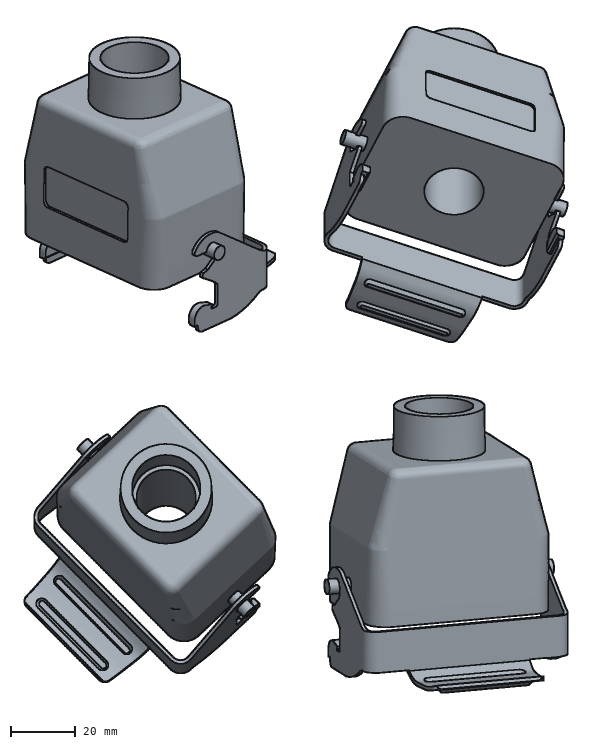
import cadquery as cq
import math

HOOD_BOTTOM_Z = 17.8
SKIRT_TOP_Z = 22.9
BREAK_Z = 42.15
HOOD_TOP_Z = 67.1
BASE_HALF_X, BASE_HALF_Y, BASE_CORNER_R = 29.9, 21.55, 6.65
TOP_HALF_X, TOP_HALF_Y, TOP_CORNER_R = 22.85, 20.7, 3.1
BREAK_HALF_X, BREAK_CORNER_R = 29.6, 4.95
FACE_LEAN = (BASE_HALF_Y - TOP_HALF_Y) / (HOOD_TOP_Z - SKIRT_TOP_Z)
BREAK_HALF_Y = BASE_HALF_Y - FACE_LEAN * (BREAK_Z - SKIRT_TOP_Z)
TOP_EDGE_R = 2.9
BREAK_EDGE_R = 2.2

COLLAR_TOP_Z = 81.05
COLLAR_TOP_R = 14.0
COLLAR_BASE_R = 14.3
BORE_R = 10.5
THROUGH_R = 9.15

LABEL_LENGTH = 36.5
LABEL_HEIGHT = 13.95
LABEL_CENTER_Z = 37.9
LABEL_CORNER_R = 1.8
LABEL_FLOOR_HALF_Y = 20.4

PEG_R = 2.35
PEG_Z = 26.8
PEG_SPAN = 74.0

SHEET = 1.2
LEVER_HALF_X = 33.7
LEVER_BACK_Y = 26.5
LEVER_BEND_R = 4.4
LEVER_FRONT_Y = -7.6
STRAP_BOTTOM_Z = 4.95
STRAP_TOP_Z = 17.9

HOOK_THICKNESS = 2.6
HOOK_BOTTOM_Z = 2.75
HOOK_BACK_Y = 0.3
HOOK_CHAMFER = 0.7
HOOK_THROAT_Y = 2.4

GRIP_TOP_Z = 2.4
GRIP_FLAT_START_Y = 32.4
GRIP_FLAT_END_Y = 36.95
GRIP_END_Y = 44.3
GRIP_ROOT_R = 7.95
GRIP_ROOT_ANGLE = 33
GRIP_TIP_R = 17.4
GRIP_HALF_WIDTH_BACK = 20.0
GRIP_HALF_WIDTH_END = 18.2
GRIP_CORNER_R = 2.4

RIBS = ((40.0, 14.5), (31.5, 16.05))
RIB_FLOOR_WIDTH = 1.95
RIB_DEPTH = 0.7
RIB_POCKET_ANGLE = 35
RIB_UNDERSIDE_ANGLE = 45
RIB_UNDERSIDE_WIDTH = 2.6


def hood_section(z, half_x, half_y, corner_r):
    """Closed wire: rounded rectangle at height z."""
    outline = cq.Workplane(origin=(0, 0, z)).rect(2 * half_x, 2 * half_y).val()
    return outline.fillet2D(corner_r, outline.Vertices())


def make_hood():
    skirt = hood_section(HOOD_BOTTOM_Z, BASE_HALF_X, BASE_HALF_Y, BASE_CORNER_R)
    base = hood_section(SKIRT_TOP_Z, BASE_HALF_X, BASE_HALF_Y, BASE_CORNER_R)
    middle = hood_section(BREAK_Z, BREAK_HALF_X, BREAK_HALF_Y, BREAK_CORNER_R)
    top = hood_section(HOOD_TOP_Z, TOP_HALF_X, TOP_HALF_Y, TOP_CORNER_R)
    body = cq.Workplane(cq.Solid.makeLoft([skirt, base, middle, top], True)).clean()
    break_edges = cq.selectors.BoxSelector(
        (-BASE_HALF_X, -BASE_HALF_Y, SKIRT_TOP_Z + TOP_EDGE_R),
        (BASE_HALF_X, BASE_HALF_Y, HOOD_TOP_Z - TOP_EDGE_R),
    )
    body = body.edges(break_edges).fillet(BREAK_EDGE_R)
    return body.faces(">Z").edges().fillet(TOP_EDGE_R)


def make_collar():
    height = COLLAR_TOP_Z - HOOD_TOP_Z
    base = cq.Vector(0, 0, HOOD_TOP_Z)
    return cq.Workplane(cq.Solid.makeCone(COLLAR_BASE_R, COLLAR_TOP_R, height, base))


def make_bores():
    through = cq.Workplane().circle(THROUGH_R).extrude(COLLAR_TOP_Z)
    collar_base = cq.Workplane(origin=(0, 0, HOOD_TOP_Z))
    collar_bore = collar_base.circle(BORE_R).extrude(COLLAR_TOP_Z - HOOD_TOP_Z)
    return through.union(collar_bore)


def make_label_recess():
    plane = cq.Workplane("XZ", origin=(0, -LABEL_FLOOR_HALF_Y, LABEL_CENTER_Z))
    block = plane.rect(LABEL_LENGTH, LABEL_HEIGHT).extrude(BASE_HALF_Y - LABEL_FLOOR_HALF_Y)
    return block.edges("|Y").fillet(LABEL_CORNER_R)


def make_pegs():
    plane = cq.Workplane("YZ", origin=(-PEG_SPAN / 2, 0, PEG_Z))
    return plane.circle(PEG_R).extrude(PEG_SPAN)


def lever_profile():
    """Side outline of the lever in the YZ plane, from the strap around both hooks."""
    return (
        cq.Workplane("YZ", origin=(-LEVER_HALF_X, 0, 0))
        .moveTo(LEVER_BACK_Y, STRAP_BOTTOM_Z)
        .lineTo(LEVER_BACK_Y, STRAP_TOP_Z)
        .lineTo(23.9, STRAP_TOP_Z)
        .threePointArc((22.3, 18.4), (20.75, 19.2))
        .lineTo(2.9, 31.8)
        .threePointArc((-3.2, 32.0), (-7.3, 28.8))
        .threePointArc((-7.45, 27.6), (-6.6, PEG_Z))
        .lineTo(-PEG_R, PEG_Z)
        .threePointArc((0, PEG_Z + PEG_R), (PEG_R, PEG_Z))
        .lineTo(PEG_R, 24.5)
        .threePointArc((2.2, 23.75), (1.5, 23.1))
        .lineTo(-1.8, 20.5)
        .lineTo(-3.65, 19.9)
        .threePointArc((-4.1, 19.0), (-3.4, 18.0))
        .lineTo(1.3, 15.1)
        .lineTo(HOOK_THROAT_Y, 13.95)
        .lineTo(HOOK_THROAT_Y, 7.1)
        .threePointArc((2.2, 6.65), (1.7, 6.4))
        .lineTo(-0.1, 6.4)
        .lineTo(-0.1, 7.0)
        .lineTo(HOOK_BACK_Y, 7.0)
        .lineTo(HOOK_BACK_Y, 7.7)
        .lineTo(-3.2, 8.7)
        .threePointArc((-6.4, 7.6), (LEVER_FRONT_Y, 4.9))
        .lineTo(LEVER_FRONT_Y, HOOK_BOTTOM_Z)
        .lineTo(-6.25, HOOK_BOTTOM_Z)
        .lineTo(-6.0, 1.5)
        .threePointArc((-5.5, 0.5), (-4.6, 0))
        .lineTo(8.35, 0)
        .threePointArc((15.0, 1.6), (20.4, 4.5))
        .threePointArc((21.2, 4.9), (22.1, STRAP_BOTTOM_Z))
        .close()
        .extrude(2 * LEVER_HALF_X)
    )


def make_lever():
    """Bail bent around the back of the hood, trimmed to the side outline."""
    depth = LEVER_BACK_Y - LEVER_FRONT_Y
    outer = (
        cq.Workplane()
        .center(0, LEVER_BACK_Y - depth / 2)
        .rect(2 * LEVER_HALF_X, depth)
        .extrude(HOOD_TOP_Z)
        .edges("|Z and >Y")
        .fillet(LEVER_BEND_R)
    )
    inner = (
        cq.Workplane()
        .center(0, LEVER_BACK_Y - SHEET - depth / 2)
        .rect(2 * (LEVER_HALF_X - SHEET), depth)
        .extrude(HOOD_TOP_Z)
        .edges("|Z and >Y")
        .fillet(LEVER_BEND_R - SHEET)
    )
    profile = lever_profile()
    lever = outer.cut(inner).intersect(profile)
    for side in (-1, 1):
        lever = lever.union(make_hook_pad(side).intersect(profile))
    return lever


def make_hook_pad(side):
    """Block that thickens the lower hook inwards; side is -1 or 1."""
    depth = HOOK_BACK_Y - LEVER_FRONT_Y
    inner_edge = "<X" if side > 0 else ">X"
    return (
        cq.Workplane()
        .box(HOOK_THICKNESS, depth, PEG_Z / 2 - HOOK_BOTTOM_Z, centered=(True, False, False))
        .edges("|Y and <Z")
        .edges(inner_edge)
        .chamfer(HOOK_CHAMFER)
        .translate((side * (LEVER_HALF_X - HOOK_THICKNESS / 2), LEVER_FRONT_Y, HOOK_BOTTOM_Z))
    )


def polar_point(center, radius, angle):
    """Point in the YZ plane; the angle runs from straight down towards +Y."""
    return (center[0] + radius * math.sin(angle), center[1] - radius * math.cos(angle))


def make_grip_sheet():
    """Curved sheet with a flat middle that bends up to the strap and to the free end."""
    root_center = (GRIP_FLAT_START_Y, GRIP_TOP_Z + GRIP_ROOT_R)
    tip_center = (GRIP_FLAT_END_Y, GRIP_TOP_Z + GRIP_TIP_R)
    root_under_r = GRIP_ROOT_R + SHEET
    tip_under_r = GRIP_TIP_R + SHEET
    under_z = GRIP_TOP_Z - SHEET
    strap_inner_y = LEVER_BACK_Y - SHEET

    tip_angle = math.asin((GRIP_END_Y - GRIP_FLAT_END_Y) / tip_under_r)
    root_angle = -math.radians(GRIP_ROOT_ANGLE)

    root_top = polar_point(root_center, GRIP_ROOT_R, root_angle)
    root_under = polar_point(root_center, root_under_r, root_angle)
    root_slope = math.tan(root_angle)
    top_meets_strap_z = root_top[1] + root_slope * (LEVER_BACK_Y - root_top[0])
    under_meets_strap_z = root_under[1] + root_slope * (strap_inner_y - root_under[0])

    sheet = (
        cq.Workplane("YZ", origin=(-GRIP_HALF_WIDTH_BACK, 0, 0))
        .moveTo(strap_inner_y, STRAP_BOTTOM_Z + SHEET)
        .lineTo(LEVER_BACK_Y, STRAP_BOTTOM_Z + SHEET)
        .lineTo(LEVER_BACK_Y, top_meets_strap_z)
        .lineTo(*root_top)
        .threePointArc(
            polar_point(root_center, GRIP_ROOT_R, root_angle / 2),
            (GRIP_FLAT_START_Y, GRIP_TOP_Z),
        )
        .lineTo(GRIP_FLAT_END_Y, GRIP_TOP_Z)
        .threePointArc(
            polar_point(tip_center, GRIP_TIP_R, tip_angle / 2),
            polar_point(tip_center, GRIP_TIP_R, tip_angle),
        )
        .lineTo(*polar_point(tip_center, tip_under_r, tip_angle))
        .threePointArc(
            polar_point(tip_center, tip_under_r, tip_angle / 2),
            (GRIP_FLAT_END_Y, under_z),
        )
        .lineTo(GRIP_FLAT_START_Y, under_z)
        .threePointArc(
            polar_point(root_center, root_under_r, root_angle / 2),
            root_under,
        )
        .lineTo(strap_inner_y, under_meets_strap_z)
        .close()
        .extrude(2 * GRIP_HALF_WIDTH_BACK)
    )
    outline = (
        cq.Workplane()
        .moveTo(-GRIP_HALF_WIDTH_BACK, LEVER_BACK_Y - SHEET)
        .lineTo(GRIP_HALF_WIDTH_BACK, LEVER_BACK_Y - SHEET)
        .lineTo(GRIP_HALF_WIDTH_END, GRIP_END_Y)
        .lineTo(-GRIP_HALF_WIDTH_END, GRIP_END_Y)
        .close()
        .extrude(STRAP_TOP_Z)
        .edges("|Z and >Y")
        .fillet(GRIP_CORNER_R)
    )
    return sheet.intersect(outline)


def make_grip():
    grip = make_grip_sheet()
    floor_z = GRIP_TOP_Z - RIB_DEPTH
    mid_sheet_z = GRIP_TOP_Z - SHEET / 2
    for center_y, half_length in RIBS:
        bump = (
            cq.Workplane(origin=(0, center_y, mid_sheet_z))
            .slot2D(2 * (half_length + SHEET), RIB_UNDERSIDE_WIDTH + SHEET)
            .extrude(-RIB_DEPTH - SHEET / 2, taper=RIB_UNDERSIDE_ANGLE)
        )
        pocket = (
            cq.Workplane(origin=(0, center_y, floor_z))
            .slot2D(2 * half_length, RIB_FLOOR_WIDTH)
            .extrude(2 * SHEET, taper=-RIB_POCKET_ANGLE)
        )
        grip = grip.union(bump).cut(pocket)
    return grip


hood = make_hood().union(make_pegs()).union(make_collar())
hood = hood.cut(make_bores()).cut(make_label_recess())
result = hood.union(make_lever()).union(make_grip())